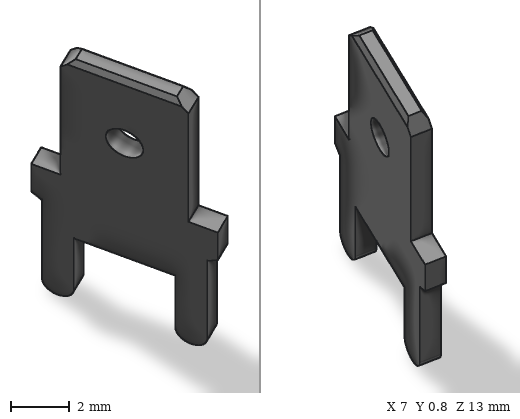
import cadquery as cq

thickness = 0.8
total_height = 13.0

leg_width = 1.2
leg_span = 6.2
leg_length = 3.4
leg_tip_radius = leg_width / 2

shoulder_width = 7.0
shoulder_top = 6.6
shoulder_bottom = 5.1
shoulder_taper = 0.25

blade_width = 4.8
corner_width = 0.5
corner_height = 0.5
hole_diameter = 1.4
hole_height = 9.6

bevel_height = 0.25
bevel_depth = 0.15


def plate():
    """Flat outline, symmetric about X = 0, with its thickness centred on Y = 0."""
    half_blade = blade_width / 2
    half_shoulder = shoulder_width / 2
    leg_outer = leg_span / 2
    leg_inner = leg_outer - leg_width
    leg_middle = leg_outer - leg_tip_radius
    half = (
        cq.Workplane("XZ")
        .moveTo(0, total_height)
        .lineTo(half_blade - corner_width, total_height)
        .lineTo(half_blade, total_height - corner_height)
        .lineTo(half_blade, shoulder_top)
        .lineTo(half_shoulder, shoulder_top)
        .lineTo(half_shoulder, shoulder_bottom)
        .lineTo(leg_outer, shoulder_bottom - shoulder_taper)
        .lineTo(leg_outer, leg_tip_radius)
        .threePointArc((leg_middle, 0), (leg_inner, leg_tip_radius))
        .lineTo(leg_inner, leg_length)
        .lineTo(0, leg_length)
        .close()
        .extrude(thickness / 2, both=True)
    )
    return half.union(half.mirror("YZ")).clean()


def blade_hole():
    """Round hole through the blade, along Y."""
    return (
        cq.Workplane("XZ")
        .center(0, hole_height)
        .circle(hole_diameter / 2)
        .extrude(thickness, both=True)
    )


def top_bevel(side):
    """Wedge removed from the top edge on the face at +Y (side = 1) or -Y (side = -1)."""
    face = side * thickness / 2
    return (
        cq.Workplane("YZ")
        .moveTo(face, total_height - bevel_height)
        .lineTo(face, total_height)
        .lineTo(face - side * bevel_depth, total_height)
        .close()
        .extrude(blade_width / 2, both=True)
    )


result = plate().cut(blade_hole())
for face_side in (1, -1):
    result = result.cut(top_bevel(face_side))